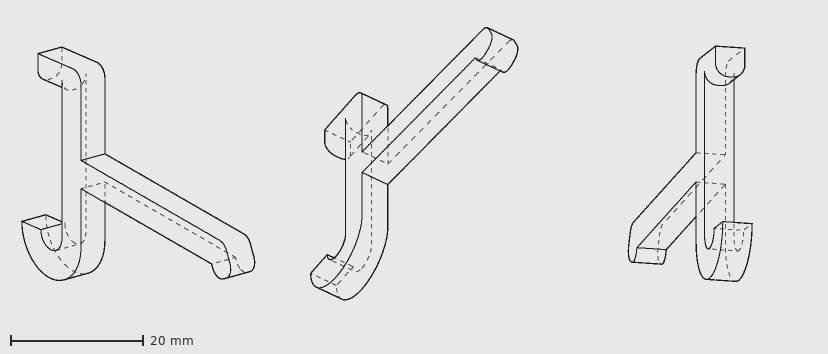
import cadquery as cq
import math

bar = 4.65
edge_radius = 2.0
hook_inner_radius = 2.55
post_height = 28.2
top_length = 10.5
arm_root_height = 13.98
arm_thickness = 4.55
arm_length = 35.0
arm_droop = 5.4
bend_angle = 60.0
stop_length = 5.22

hook_outer_radius = hook_inner_radius + bar
hook_center_x = -hook_outer_radius
hook_tip_x = -2 * hook_outer_radius
overlap = bar / 2
stop_droop = arm_droop + bend_angle


def along(point, angle_below_horizontal, distance):
    """Point reached by moving in XZ at an angle below the +X direction."""
    angle = math.radians(angle_below_horizontal)
    return (
        point[0] + distance * math.cos(angle),
        point[1] - distance * math.sin(angle),
    )


def extrude_bar(outline):
    """Extrude a closed XZ outline across the bar width, centred on Y = 0."""
    return outline.close().extrude(bar / 2, both=True)


def make_hook_and_post():
    """Upright post that curls into a half-round hook at its lower end."""
    outline = (
        cq.Workplane("XZ")
        .moveTo(0, post_height)
        .lineTo(0, 0)
        .threePointArc((hook_center_x, -hook_outer_radius), (hook_tip_x, 0))
        .lineTo(hook_tip_x + bar, 0)
        .threePointArc((hook_center_x, -hook_inner_radius), (-bar, 0))
        .lineTo(-bar, post_height)
    )
    post = extrude_bar(outline)
    return post.edges("|Y and >Z and >X").fillet(edge_radius)


def make_top_lip():
    """Horizontal lip whose two lower long edges are rounded."""
    lip_length = top_length - bar
    lip = cq.Workplane("XY").box(lip_length, bar, bar)
    lip = lip.edges("|X and <Z").fillet(edge_radius)
    return lip.translate((-bar - lip_length / 2, 0, post_height - bar / 2))


def make_arm():
    """Drooping arm that bends down into a short end stop with rounded corners."""
    root = (0, arm_root_height)
    buried_top = along(root, arm_droop, -overlap)
    outer_bend = along(root, arm_droop, arm_length)
    stop_outer = along(outer_bend, stop_droop, stop_length)
    stop_inner = along(stop_outer, stop_droop + 90, bar)
    bend = math.radians(bend_angle)
    bend_offset = (arm_thickness - bar * math.cos(bend)) / math.sin(bend)
    inner_bend = along(stop_inner, stop_droop, bend_offset - stop_length)
    buried_bottom = along(buried_top, arm_droop + 90, arm_thickness)

    outline = cq.Workplane("XZ").polyline(
        [buried_top, outer_bend, stop_outer, stop_inner, inner_bend, buried_bottom]
    )
    arm = extrude_bar(outline)
    for corner in (outer_bend, stop_outer, stop_inner):
        nearest = cq.selectors.NearestToPointSelector((corner[0], 0, corner[1]))
        arm = arm.edges("|Y").edges(nearest).fillet(edge_radius)
    return arm


result = make_hook_and_post().union(make_top_lip()).union(make_arm())